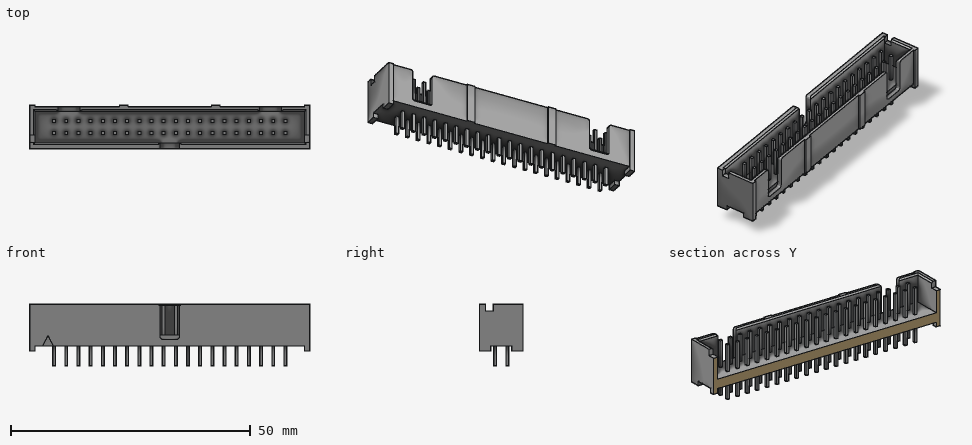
import cadquery as cq

LENGTH = 58.42
DEPTH = 9.14
HEIGHT = 12.9

PITCH = 2.54
COLUMNS = 20
ROWS = 2
PIN_WIDTH = 0.62
PIN_TOP_BELOW_RIM = 0.35

HOUSING_HEIGHT = 9.84
FOOT_HEIGHT = 1.05
FOOT_LENGTH = 1.1
FOOT_NOTCH_WIDTH = 4.3
FRONT_WALL = 1.27
BACK_WALL = 0.97
END_WALL = 1.1
CAVITY_DEPTH = 6.5
RIM_CHAMFER = 0.35
RIM_CHAMFER_ANGLE = 45

PAD_HEIGHT = 0.34
END_PAD_LENGTH = 1.1
MIDDLE_PAD_LENGTH = 1.8
MIDDLE_PAD_OFFSET = 9.6

KEY_SLOT_WIDTH = 4.05
LATCH_SLOT_WIDTH = 4.6
LATCH_SLOT_OFFSET = 21.0
SLOT_DEPTH = 7.4
SLOT_FLOOR_RADIUS = 0.65
SLOT_MOUTH_RADIUS = 0.55

END_SLOT_WIDTH = 1.6
END_SLOT_DEPTH = 1.45
END_SLOT_FROM_FRONT = 1.3

MARK_WIDTH = 2.3
MARK_HEIGHT = 2.2
MARK_DEPTH = 0.2
MARK_X = -COLUMNS / 2 * PITCH

FRONT_Y = -DEPTH / 2
BACK_Y = DEPTH / 2
BACK_WALL_Y = BACK_Y - PAD_HEIGHT
CAVITY_FRONT_Y = FRONT_Y + FRONT_WALL
CAVITY_BACK_Y = BACK_WALL_Y - BACK_WALL
CAVITY_X = LENGTH / 2 - END_WALL
RIM_Z = HEIGHT
FOOT_Z = RIM_Z - HOUSING_HEIGHT
BASE_Z = FOOT_Z + FOOT_HEIGHT
FLOOR_Z = RIM_Z - CAVITY_DEPTH


def block(x0, x1, y0, y1, z0, z1):
    """Axis-aligned box between two opposite corners."""
    return cq.Workplane("XY").box(x1 - x0, y1 - y0, z1 - z0, centered=False).translate((x0, y0, z0))


def make_housing():
    """Solid housing with its end feet and the raised pads on the back wall."""
    half_length = LENGTH / 2
    half_notch = FOOT_NOTCH_WIDTH / 2
    housing = block(-half_length, half_length, FRONT_Y, BACK_WALL_Y, BASE_Z, RIM_Z)
    for side in (-1, 1):
        foot_x = sorted((side * half_length, side * (half_length - FOOT_LENGTH)))
        pad_x = sorted((side * half_length, side * (half_length - END_PAD_LENGTH)))
        housing = housing.union(block(*foot_x, FRONT_Y, -half_notch, FOOT_Z, BASE_Z))
        housing = housing.union(block(*foot_x, half_notch, BACK_WALL_Y, FOOT_Z, BASE_Z))
        housing = housing.union(block(*pad_x, BACK_WALL_Y, BACK_Y, FOOT_Z, RIM_Z))
        middle_x = side * MIDDLE_PAD_OFFSET
        half_pad = MIDDLE_PAD_LENGTH / 2
        housing = housing.union(
            block(middle_x - half_pad, middle_x + half_pad, BACK_WALL_Y, BACK_Y, BASE_Z, RIM_Z)
        )
    return housing


def make_cavity():
    """Open-topped cavity, flared by a chamfer all round its rim."""
    cavity = block(-CAVITY_X, CAVITY_X, CAVITY_FRONT_Y, CAVITY_BACK_Y, FLOOR_Z, RIM_Z)
    flare = (
        cq.Workplane("XY")
        .workplane(offset=RIM_Z)
        .center(0, (CAVITY_FRONT_Y + CAVITY_BACK_Y) / 2)
        .rect(2 * (CAVITY_X + RIM_CHAMFER), CAVITY_BACK_Y - CAVITY_FRONT_Y + 2 * RIM_CHAMFER)
        .extrude(-RIM_CHAMFER, taper=RIM_CHAMFER_ANGLE)
    )
    return cavity.union(flare)


def make_wall_slot(centre_x, width, y0, y1):
    """Slot through a long wall: rounded floor corners and a rounded-over mouth at the rim."""
    half = width / 2
    mouth = half + SLOT_MOUTH_RADIUS
    mouth_z = RIM_Z - SLOT_MOUTH_RADIUS
    floor_z = RIM_Z - SLOT_DEPTH
    floor_half = half - SLOT_FLOOR_RADIUS
    floor_arc_z = floor_z + SLOT_FLOOR_RADIUS
    return (
        cq.Workplane("XZ", origin=(centre_x, y0, 0))
        .moveTo(-mouth, RIM_Z)
        .radiusArc((-half, mouth_z), SLOT_MOUTH_RADIUS)
        .lineTo(-half, floor_arc_z)
        .radiusArc((-floor_half, floor_z), -SLOT_FLOOR_RADIUS)
        .lineTo(floor_half, floor_z)
        .radiusArc((half, floor_arc_z), -SLOT_FLOOR_RADIUS)
        .lineTo(half, mouth_z)
        .radiusArc((mouth, RIM_Z), SLOT_MOUTH_RADIUS)
        .close()
        .extrude(y0 - y1)
    )


def make_end_slots():
    """Shallow slot across both end walls, near the front."""
    y0 = FRONT_Y + END_SLOT_FROM_FRONT
    return block(-LENGTH / 2, LENGTH / 2, y0, y0 + END_SLOT_WIDTH, RIM_Z - END_SLOT_DEPTH, RIM_Z)


def make_pin_one_mark():
    """Triangle standing on the lower edge of the front wall."""
    return (
        cq.Workplane("XZ", origin=(MARK_X, FRONT_Y, BASE_Z))
        .moveTo(-MARK_WIDTH / 2, 0)
        .lineTo(MARK_WIDTH / 2, 0)
        .lineTo(0, MARK_HEIGHT)
        .close()
        .extrude(-MARK_DEPTH)
    )


def make_pins():
    """Grid of square pins running from the tails up into the cavity."""
    return (
        cq.Workplane("XY")
        .rarray(PITCH, PITCH, COLUMNS, ROWS)
        .rect(PIN_WIDTH, PIN_WIDTH)
        .extrude(RIM_Z - PIN_TOP_BELOW_RIM)
    )


result = make_housing().cut(make_cavity()).cut(make_end_slots())
result = result.cut(make_wall_slot(0, KEY_SLOT_WIDTH, FRONT_Y, CAVITY_FRONT_Y))
for latch_x in (-LATCH_SLOT_OFFSET, LATCH_SLOT_OFFSET):
    result = result.cut(make_wall_slot(latch_x, LATCH_SLOT_WIDTH, CAVITY_BACK_Y, BACK_WALL_Y))
result = result.cut(make_pin_one_mark())
result = result.union(make_pins())